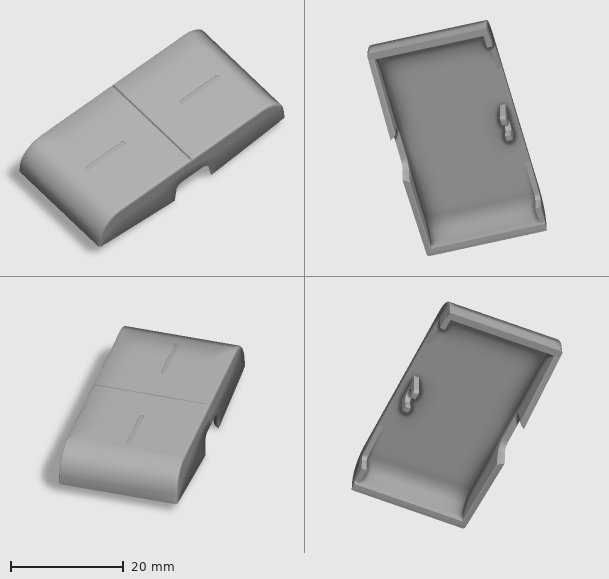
import cadquery as cq
import math

length = 43.5
width = 21.95
height = 8.25
half_length = length / 2
half_width = width / 2
margin = 0.05

body_depth = 6.6
corner_drop = 4.95
corner_reach = 5.1
end_draft = 0.15
plain_side_draft = 0.15
lip_side_draft = 0.3
plain_edge_radius = 0.17
lip_edge_radius = 0.52

ceiling_depth = 1.6
end_wall = 1.45
arch_wall = 1.0
lip_wall = 1.15
cavity_round = 3.5
cavity_corner_radius = 0.3
cavity_half_length = half_length - end_wall
cavity_end_x = half_width - lip_wall

arch_top = 1.55
arch_flat_half = 10.0
arch_shoulder = 2.45
arch_half_length = 17.25
arch_radius = 0.85
foot_depth = 5.75

lip_top = 5.3
lip_end_depth = 6.7
lip_tip_half = 4.2
lip_edge_round = 0.35
gap_top = 4.4
gap_top_half = 3.5
gap_radius = 1.3
gap_bevel = 0.5
gap_flare = 0.95

clip_half = 2.7
clip_depth = 6.1
clip_setback = 1.4
clip_outer_radius = 0.7
clip_mouth_radius = 0.15
clip_bore_radius = 1.35
clip_bore_depth = 4.35
clip_mouth = 2.1
clip_thickness = 1.0

groove_width = 0.4
groove_depth = 0.25
slot_length = 9.1
slot_width = 0.85
slot_depth = 0.1
slot_center_y = 11.05


def side_profile(x):
    """Sketch plane of a Y-Z outline at the given X, to be extruded toward +X."""
    return cq.Workplane("YZ", origin=(x, 0, 0))


def make_envelope():
    """Full-depth solid with rounded ends and leaning sides."""
    flat_half = half_length - corner_reach
    side_y = half_length - end_draft
    diagonal = math.sqrt(0.5)
    arc_y = flat_half + (side_y - flat_half) * diagonal
    arc_z = -corner_drop * (1 - diagonal)
    body = (
        side_profile(-half_width)
        .moveTo(-flat_half, 0)
        .lineTo(flat_half, 0)
        .threePointArc((arc_y, arc_z), (side_y, -corner_drop))
        .lineTo(half_length, -body_depth)
        .lineTo(-half_length, -body_depth)
        .lineTo(-side_y, -corner_drop)
        .threePointArc((-arc_y, arc_z), (-flat_half, 0))
        .close()
        .extrude(width)
    )
    return body.intersect(make_side_limits())


def make_side_limits():
    """Prism bounded by the two leaning side faces."""
    return (
        cq.Workplane("XZ", origin=(0, half_length, 0))
        .polyline([
            (-half_width + plain_side_draft, 0),
            (half_width - lip_side_draft, 0),
            (half_width, -height),
            (-half_width, -height),
            (-half_width, -body_depth),
        ])
        .close()
        .extrude(length)
    )


def round_top_edges(body):
    """Round the edges that run along both sides over the top and the ends."""
    top_outline = cq.selectors.BoxSelector(
        (-width, -length, -body_depth + margin),
        (0, length, margin),
    )
    body = body.faces("<X").edges(top_outline).edges("not <Z").fillet(plain_edge_radius)
    return body.faces(">X").edges("not <Z").fillet(lip_edge_radius)


def make_cavity():
    """Hollow between the four walls."""
    start = -half_width + arch_wall
    block = (
        side_profile(start)
        .moveTo(-cavity_half_length, -height)
        .lineTo(-cavity_half_length, -ceiling_depth)
        .lineTo(cavity_half_length, -ceiling_depth)
        .lineTo(cavity_half_length, -height)
        .close()
        .extrude(cavity_end_x - start)
    )
    block = block.faces(">Z").edges("|X").fillet(cavity_round)
    return block.faces(">X").edges("|Z").fillet(cavity_corner_radius)


def make_arch_opening():
    """Opening through the -X wall, with shallow reliefs under its feet."""
    start = -half_width - margin
    depth = arch_wall + 2 * margin
    arch = (
        side_profile(start)
        .polyline([
            (-arch_half_length, -height),
            (-arch_half_length, -arch_shoulder),
            (-arch_flat_half, -arch_top),
            (arch_flat_half, -arch_top),
            (arch_half_length, -arch_shoulder),
            (arch_half_length, -height),
        ])
        .close()
        .extrude(depth)
    )
    shoulders = cq.selectors.BoxSelector(
        (-width, -half_length, -arch_shoulder - margin),
        (half_width, half_length, -arch_shoulder + margin),
    )
    arch = arch.edges("|X").edges(shoulders).fillet(arch_radius)
    foot_relief = (
        side_profile(start)
        .moveTo(0, -(foot_depth + height) / 2)
        .rect(2 * cavity_half_length, height - foot_depth)
        .extrude(depth)
    )
    return arch.union(foot_relief)


def gap_outline(x, flare):
    """Gap outline at X, widened all round by the flare."""
    bottom = -height - gap_flare
    lean = (lip_tip_half - gap_top_half) / (height - gap_top)
    bottom_half = gap_top_half + lean * (-bottom - gap_top)
    prism = (
        side_profile(x)
        .polyline([
            (-bottom_half, bottom),
            (-gap_top_half, -gap_top),
            (gap_top_half, -gap_top),
            (bottom_half, bottom),
        ])
        .close()
        .extrude(lip_wall)
    )
    prism = prism.faces(">Z").edges("|X").fillet(gap_radius)
    outline = prism.faces("<X").wires().val()
    if flare == 0:
        return outline
    return outline.offset2D(flare)[0]


def make_gap():
    """Gap that widens from the outer face toward the hollow."""
    sections = [
        gap_outline(cavity_end_x, gap_flare),
        gap_outline(cavity_end_x + gap_bevel, gap_flare - gap_bevel),
        gap_outline(half_width, 0),
    ]
    return cq.Workplane(cq.Solid.makeLoft(sections, True))


def make_lip_seat():
    """Part of the +X wall that the round-edged lip replaces."""
    return (
        side_profile(cavity_end_x)
        .moveTo(0, -(lip_top + height) / 2)
        .rect(2 * cavity_half_length, height - lip_top)
        .extrude(lip_wall)
    )


def make_lip():
    """Lip with sloping bottom edges, rounded on the inside."""
    lip = (
        side_profile(cavity_end_x)
        .polyline([
            (-cavity_half_length, -lip_top),
            (-cavity_half_length, -lip_end_depth),
            (-lip_tip_half, -height),
            (lip_tip_half, -height),
            (cavity_half_length, -lip_end_depth),
            (cavity_half_length, -lip_top),
        ])
        .close()
        .extrude(lip_wall)
    )
    below_rim = cq.selectors.BoxSelector(
        (0, -half_length, -height - margin),
        (half_width, half_length, -lip_end_depth),
    )
    lip = lip.faces("<X").edges(below_rim).fillet(lip_edge_round)
    return lip.intersect(make_side_limits())


def make_clip():
    """Two-pronged clip with a round seat above its mouth."""
    start = -half_width + clip_setback
    top = ceiling_depth - margin
    clip = (
        side_profile(start)
        .moveTo(0, -(top + clip_depth) / 2)
        .rect(2 * clip_half, clip_depth - top)
        .extrude(clip_thickness)
    )
    clip = clip.faces("<Z").edges("|X").fillet(clip_outer_radius)
    mouth_height = clip_depth - clip_bore_depth
    mouth = (
        side_profile(start)
        .moveTo(0, -clip_bore_depth - mouth_height / 2)
        .rect(clip_mouth, mouth_height)
        .extrude(clip_thickness)
    )
    bore = (
        side_profile(start)
        .moveTo(0, -clip_bore_depth)
        .circle(clip_bore_radius)
        .extrude(clip_thickness)
    )
    clip = clip.cut(mouth)
    mouth_edges = cq.selectors.BoxSelector(
        (-width, -clip_mouth / 2 - margin, -clip_depth - margin),
        (width, clip_mouth / 2 + margin, -clip_depth + margin),
    )
    clip = clip.edges("|X").edges(mouth_edges).fillet(clip_mouth_radius)
    return clip.cut(bore)


def make_top_marks():
    """V-groove across the middle and one shallow slot on each half."""
    groove = (
        side_profile(-half_width)
        .polyline([(-groove_width / 2, 0), (0, -groove_depth), (groove_width / 2, 0)])
        .close()
        .extrude(width)
    )
    slots = (
        cq.Workplane("XY")
        .pushPoints([(0, -slot_center_y), (0, slot_center_y)])
        .slot2D(slot_length, slot_width, 90)
        .extrude(-slot_depth)
    )
    return groove.union(slots)


result = round_top_edges(make_envelope()).cut(make_cavity())
result = result.cut(make_arch_opening()).cut(make_lip_seat()).union(make_lip())
result = result.cut(make_gap()).union(make_clip()).cut(make_top_marks())